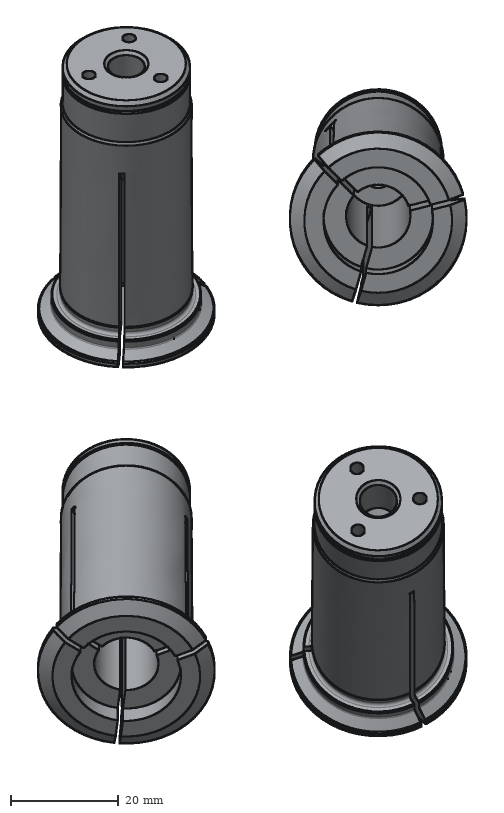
import cadquery as cq
import math

LENGTH = 60.5
FLANGE_RADIUS = 33.0 / 2
FACE_CONE_ANGLE = 30.0

FLANGE_RIM_BOTTOM = 1.6
FLANGE_RIM_TOP = 2.4
RIM_CHAMFER_WIDTH = 0.25
RIM_CHAMFER_HEIGHT = 0.35
COLLAR_RADIUS = 14.0
COLLAR_TOP = 6.05
COLLAR_CHAMFER_WIDTH = 0.2
COLLAR_CHAMFER_HEIGHT = 0.35
COLLAR_FILLET = 0.3

NECK_RADIUS = 12.3
NECK_FILLET = 0.65
NECK_TOP = 7.6

BODY_BOTTOM = 8.0
BODY_TOP = 50.65
BODY_BOTTOM_RADIUS = 12.4
BODY_TOP_RADIUS = 12.2

REAR_BOTTOM = 51.25
REAR_RADIUS = 23.8 / 2
REAR_CHAMFER = 0.8
GROOVE_BOTTOM = 57.9
GROOVE_TOP = 58.45
GROOVE_DEPTH = 0.2

BORE_RADIUS = 6.0
BORE_TOP = 39.9
MOUTH_RADIUS = 20.4 / 2
MOUTH_DEPTH = 4.0
PASSAGE_RADIUS = 2.6
SCREW_HOLE_RADIUS = 3.45
SCREW_HOLE_CHAMFER = 0.65

CHAMBER_RADIUS = 10.45
CHAMBER_FLOOR = 42.35
CHAMBER_FLOOR_SLOPE = 30.0
REAR_WALL_THICKNESS = 9.1

SLOT_WIDTH = 0.95
SLOT_TOP = 44.05
SLOT_END_SLOPE = 45.0
SLOT_ANGLES = (60.0, 180.0, 300.0)

COOLANT_DIAMETER = 2.5
COOLANT_CIRCLE_RADIUS = 7.75
COOLANT_COUNT = 3


def make_body():
    """Revolve the outer outline of the sleeve around Z."""
    cone_slope = math.tan(math.radians(FACE_CONE_ANGLE))
    bottom_face_radius = FLANGE_RADIUS - FLANGE_RIM_BOTTOM / cone_slope
    cone_outer_radius = FLANGE_RADIUS - RIM_CHAMFER_WIDTH
    cone_outer_height = FLANGE_RIM_TOP + RIM_CHAMFER_HEIGHT
    cone_inner_height = cone_outer_height + (cone_outer_radius - COLLAR_RADIUS) * cone_slope

    half_turn = math.radians(90 - FACE_CONE_ANGLE) / 2
    fillet_reach = COLLAR_FILLET * math.tan(half_turn)
    fillet_start = (
        COLLAR_RADIUS + fillet_reach * math.cos(math.radians(FACE_CONE_ANGLE)),
        cone_inner_height - fillet_reach * math.sin(math.radians(FACE_CONE_ANGLE)),
    )
    fillet_end = (COLLAR_RADIUS, cone_inner_height + fillet_reach)

    outline = (
        cq.Workplane("XZ")
        .lineTo(bottom_face_radius, 0)
        .lineTo(FLANGE_RADIUS, FLANGE_RIM_BOTTOM)
        .lineTo(FLANGE_RADIUS, FLANGE_RIM_TOP)
        .lineTo(cone_outer_radius, cone_outer_height)
        .lineTo(*fillet_start)
        .tangentArcPoint(fillet_end, relative=False)
        .lineTo(COLLAR_RADIUS, COLLAR_TOP - COLLAR_CHAMFER_HEIGHT)
        .lineTo(COLLAR_RADIUS - COLLAR_CHAMFER_WIDTH, COLLAR_TOP)
        .lineTo(NECK_RADIUS + NECK_FILLET, COLLAR_TOP)
        .tangentArcPoint((NECK_RADIUS, COLLAR_TOP + NECK_FILLET), relative=False)
        .lineTo(NECK_RADIUS, NECK_TOP)
        .lineTo(BODY_BOTTOM_RADIUS, BODY_BOTTOM)
        .lineTo(BODY_TOP_RADIUS, BODY_TOP)
        .lineTo(REAR_RADIUS, REAR_BOTTOM)
        .lineTo(REAR_RADIUS, GROOVE_BOTTOM)
        .lineTo(REAR_RADIUS - GROOVE_DEPTH, GROOVE_TOP)
        .lineTo(REAR_RADIUS, GROOVE_TOP)
        .lineTo(REAR_RADIUS, LENGTH - REAR_CHAMFER)
        .lineTo(REAR_RADIUS - REAR_CHAMFER, LENGTH)
        .lineTo(0, LENGTH)
        .close()
    )
    return outline.revolve(360, (0, 0, 0), (0, 1, 0))


def make_bores():
    """Mouth, main bore, passage, coolant chamber and screw hole as one solid."""
    chamber_top = LENGTH - REAR_WALL_THICKNESS
    floor_slope = math.tan(math.radians(CHAMBER_FLOOR_SLOPE))
    funnel_top = CHAMBER_FLOOR + (CHAMBER_RADIUS - SCREW_HOLE_RADIUS) * floor_slope
    outline = (
        cq.Workplane("XZ")
        .lineTo(MOUTH_RADIUS, 0)
        .lineTo(MOUTH_RADIUS, MOUTH_DEPTH)
        .lineTo(BORE_RADIUS, MOUTH_DEPTH)
        .lineTo(BORE_RADIUS, BORE_TOP)
        .lineTo(PASSAGE_RADIUS, BORE_TOP)
        .lineTo(PASSAGE_RADIUS, CHAMBER_FLOOR)
        .lineTo(SCREW_HOLE_RADIUS, CHAMBER_FLOOR)
        .lineTo(CHAMBER_RADIUS, funnel_top)
        .lineTo(CHAMBER_RADIUS, chamber_top)
        .lineTo(SCREW_HOLE_RADIUS, chamber_top)
        .lineTo(SCREW_HOLE_RADIUS, LENGTH - SCREW_HOLE_CHAMFER)
        .lineTo(SCREW_HOLE_RADIUS + SCREW_HOLE_CHAMFER, LENGTH)
        .lineTo(0, LENGTH)
        .close()
    )
    return outline.revolve(360, (0, 0, 0), (0, 1, 0))


def make_slot(angle):
    """Radial slot from the bore outwards, open at the bottom, turned about Z."""
    end_slope = math.tan(math.radians(SLOT_END_SLOPE))
    outer_height = SLOT_TOP + (FLANGE_RADIUS - BODY_TOP_RADIUS) * end_slope
    axis_height = SLOT_TOP - BODY_TOP_RADIUS * end_slope
    return (
        cq.Workplane("XZ")
        .lineTo(FLANGE_RADIUS, 0)
        .lineTo(FLANGE_RADIUS, outer_height)
        .lineTo(0, axis_height)
        .close()
        .extrude(SLOT_WIDTH / 2, both=True)
        .rotate((0, 0, 0), (0, 0, 1), angle)
    )


def make_coolant_holes():
    """Evenly spaced vertical holes through the rear end wall."""
    return (
        cq.Workplane("XY", origin=(0, 0, LENGTH))
        .polarArray(COOLANT_CIRCLE_RADIUS, 0, 360, COOLANT_COUNT)
        .circle(COOLANT_DIAMETER / 2)
        .extrude(-REAR_WALL_THICKNESS)
    )


result = make_body().cut(make_bores()).cut(make_coolant_holes())
for slot_angle in SLOT_ANGLES:
    result = result.cut(make_slot(slot_angle))